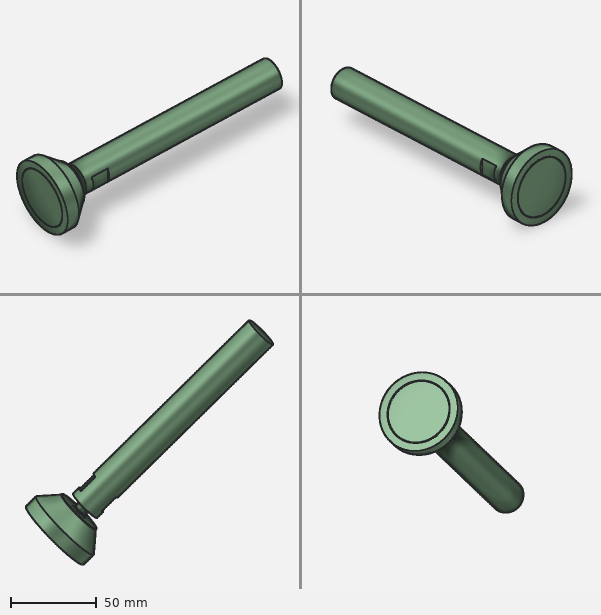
import cadquery as cq
import math

TOTAL_LENGTH = 170.0

FOOT_DIAMETER = 48.0
FOOT_TOP_DIAMETER = 28.7
FOOT_HEIGHT = 20.0
RIM_HEIGHT = 8.3
COLLAR_HEIGHT = 0.5
GROOVE_OUTER_DIAMETER = 38.0
GROOVE_INNER_DIAMETER = 37.5
GROOVE_DEPTH = 1.0

ROD_DIAMETER = 20.0
ROD_START = 24.8
NECK_DIAMETER = 7.8
BALL_DIAMETER = 12.5
BALL_TOP = 20.9

FLAT_WIDTH = 17.0
FLAT_START = 30.0
FLAT_LENGTH = 11.9

BALL_CENTRE = BALL_TOP - math.sqrt((BALL_DIAMETER / 2) ** 2 - (NECK_DIAMETER / 2) ** 2)


def cylinder(diameter, start, end):
    """Solid cylinder along Y between two heights."""
    return cq.Workplane("XZ", origin=(0, start, 0)).circle(diameter / 2).extrude(start - end)


def make_ball():
    """Ball joint shared by the spindle and the foot's socket."""
    return cq.Workplane("XY").sphere(BALL_DIAMETER / 2).translate((0, BALL_CENTRE, 0))


def cut_wrench_flats(rod):
    """Cut two parallel flats across the rod, facing -X and +X."""
    cut_depth = (ROD_DIAMETER - FLAT_WIDTH) / 2
    for side in (-1, 1):
        cutter = cq.Workplane("XY").box(cut_depth, FLAT_LENGTH, ROD_DIAMETER)
        rod = rod.cut(
            cutter.translate((side * (FLAT_WIDTH + cut_depth) / 2, FLAT_START + FLAT_LENGTH / 2, 0))
        )
    return rod


def make_spindle():
    """Rod with wrench flats, a thin neck and a ball end."""
    rod = cut_wrench_flats(cylinder(ROD_DIAMETER, ROD_START, TOTAL_LENGTH))
    neck = cylinder(NECK_DIAMETER, BALL_CENTRE, ROD_START)
    return rod.union(neck).union(make_ball())


def make_foot():
    """Conical foot with a ball socket and a fine ring groove in its sole."""
    blank = (
        cq.Workplane("XY")
        .moveTo(0, 0)
        .lineTo(FOOT_DIAMETER / 2, 0)
        .lineTo(FOOT_DIAMETER / 2, RIM_HEIGHT)
        .lineTo(FOOT_TOP_DIAMETER / 2, FOOT_HEIGHT - COLLAR_HEIGHT)
        .lineTo(FOOT_TOP_DIAMETER / 2, FOOT_HEIGHT)
        .lineTo(0, FOOT_HEIGHT)
        .close()
        .revolve(360, (0, 0, 0), (0, 1, 0))
    )
    groove = cylinder(GROOVE_OUTER_DIAMETER, 0, GROOVE_DEPTH).cut(
        cylinder(GROOVE_INNER_DIAMETER, 0, GROOVE_DEPTH)
    )
    return blank.cut(groove).cut(make_ball())


spindle = make_spindle()
foot = make_foot()

result = cq.Compound.makeCompound([spindle.val(), foot.val()])